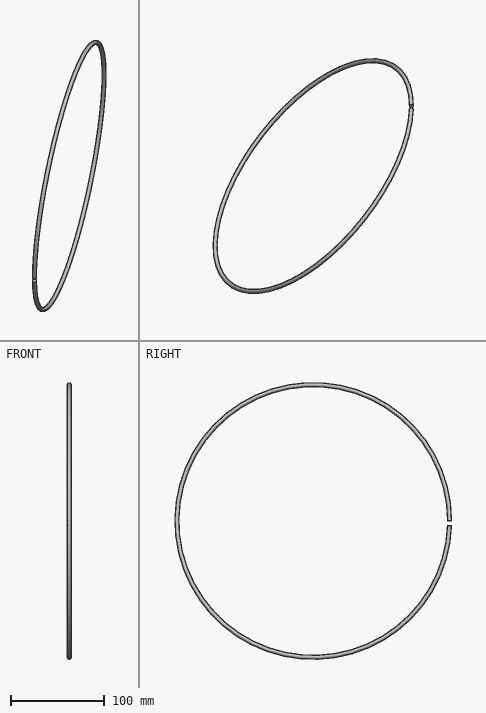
import cadquery as cq
import math

outer_diameter = 294.7
wire_diameter = 4.5
gap = 5.0

ring_radius = (outer_diameter - wire_diameter) / 2
gap_angle = math.degrees(2 * math.asin(gap / 2 / ring_radius))
sweep_angle = 360 - gap_angle

result = (
    cq.Workplane("XY")
    .center(0, ring_radius)
    .circle(wire_diameter / 2)
    .revolve(sweep_angle, (0, -ring_radius, 0), (1, -ring_radius, 0))
)